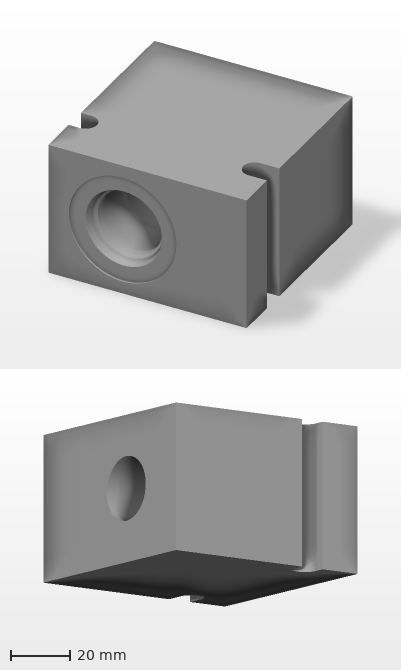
import cadquery as cq
import math

width = 76.2
depth = 76.2
height = 50.8

slot_width = 8.8
slot_from_front = 19.05
left_slot_reach = 8.5
right_slot_reach = 11.5

port_from_left = 28.6
spotface_diameter = 41.3
spotface_depth = 0.8
rim_diameter = 29.5
seat_diameter = 29.1
seat_end_diameter = 27.4
seat_half_angle = 15.0
bore_diameter = 24.85
rim_half_angle = 45.0
bore_entry_half_angle = 45.0
bore_end = 22.85
through_diameter = 22.25
drill_half_angle = 59.0


def side_slot(edge_x, inward, reach):
    """Slot cutter entering from a side edge; inward is +1 or -1 along X."""
    radius = slot_width / 2
    straight_x = edge_x + inward * (reach - radius)
    return (
        cq.Workplane("XY")
        .moveTo(edge_x, slot_from_front - radius)
        .lineTo(straight_x, slot_from_front - radius)
        .threePointArc(
            (edge_x + inward * reach, slot_from_front),
            (straight_x, slot_from_front + radius),
        )
        .lineTo(edge_x, slot_from_front + radius)
        .close()
        .extrude(height)
    )


def cone_length(large_diameter, small_diameter, half_angle):
    """Axial length of a taper between two diameters."""
    return (large_diameter - small_diameter) / 2 / math.tan(math.radians(half_angle))


def port():
    """Port cutter: spotface, broken rim, tapered seat, bore, drill cone and through hole."""
    seat_start = spotface_depth + cone_length(rim_diameter, seat_diameter, rim_half_angle)
    seat_end = seat_start + cone_length(seat_diameter, seat_end_diameter, seat_half_angle)
    bore_start = seat_end + cone_length(seat_end_diameter, bore_diameter, bore_entry_half_angle)
    drill_end = bore_end + cone_length(bore_diameter, through_diameter, drill_half_angle)
    profile = [
        (0, 0),
        (spotface_diameter / 2, 0),
        (spotface_diameter / 2, spotface_depth),
        (rim_diameter / 2, spotface_depth),
        (seat_diameter / 2, seat_start),
        (seat_end_diameter / 2, seat_end),
        (bore_diameter / 2, bore_start),
        (bore_diameter / 2, bore_end),
        (through_diameter / 2, drill_end),
        (through_diameter / 2, depth),
        (0, depth),
    ]
    cutter = cq.Workplane("XY").polyline(profile).close().revolve(360, (0, 0), (0, 1))
    return cutter.translate((port_from_left, 0, height / 2))


block = cq.Workplane("XY").box(width, depth, height, centered=False)
result = (
    block.cut(side_slot(0, 1, left_slot_reach))
    .cut(side_slot(width, -1, right_slot_reach))
    .cut(port())
)